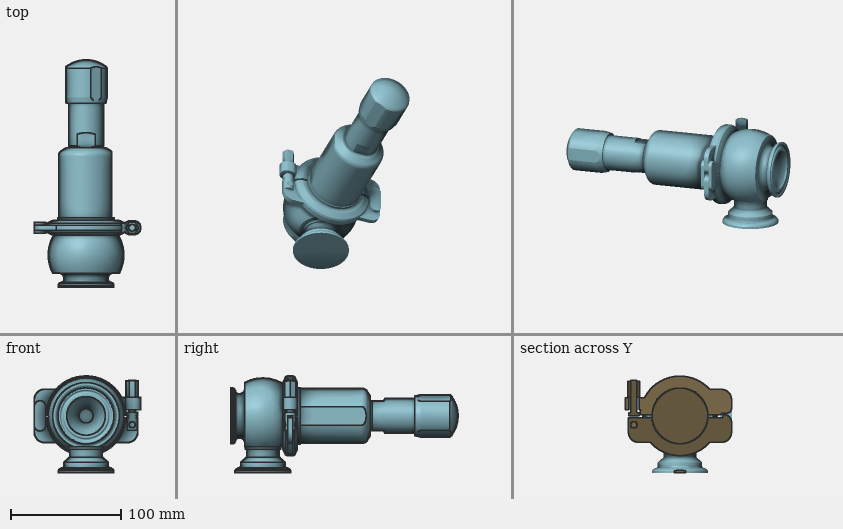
import cadquery as cq
import math


inlet_face_y = -29.0
inlet_flat_y = -16.5
clamp_mid_y = 24.7
cap_tip_y = 177.0
ball_radius = 34.5
joint_radius = 25.5

ferrule_radius = 25.3
ferrule_neck_radius = 20.2
rim_straight = 1.9
rim_thickness = 3.3
rim_top_radius = 24.5
slope_end_height = 4.5
slope_end_radius = 22.2
neck_start_height = 6.4
groove_middle_radius = 21.8
groove_half_width = 1.2
groove_lip_width = 1.0
groove_lip_depth = 0.6
groove_bottom_radius = 1.5
inlet_flare_radius = 4.1

bore_depth = 1.6
cone_mouth_radius = 17.5
cone_end_radius = 6.4
cone_depth = 17.5

outlet_face_z = -51.7
outlet_seat_z = -28.0
outlet_collar_radius = 16.0
outlet_collar_height = 2.3
outlet_pipe_radius = 14.8
outlet_cone_top_z = -37.3
outlet_cone_bottom_z = -42.2

bonnet_radius = 25.0
bonnet_collar_end_y = 34.0
bonnet_flat_x = 23.5
bonnet_shoulder_y = 89.8
bonnet_round = 5.8
bonnet_round_end_radius = 22.9
bonnet_round_end_y = 94.1
bonnet_top_radius = 17.7
bonnet_top_y = 97.5
neck_radius = 15.9
neck_root_radius = 14.5
neck_chamfer_height = 1.5
neck_flat_half_width = 13.5
neck_flat_end_y = 110.8
neck_flat_end_radius = 24.7

cap_radius = 19.2
cap_base_y = 137.5
cap_base_radius = 18.0
cap_taper_end_y = 143.0
cap_round = 5.4
cap_round_start_y = 169.3
cap_dome_radius = 16.5
cap_dome_y = 171.8
cap_flat_distance = 18.3
cap_flat_angles = (60, 180, 300)

clamp_radius = 36.3
clamp_rim_half_width = 2.3
clamp_shoulder_radius = 35.5
clamp_shoulder_half_width = 4.1
clamp_face_radius = 29.9
clamp_half_width = 6.5
upper_split_z = 0.6
lower_split_z = -1.6

lug_reach = 47.0
lug_half_height = 24.3
lug_corner_radius = 9.7
lug_thickness = 4.3
knuckle_upper_z = 2.3
knuckle_upper_radius = 4.7
knuckle_upper_inner_x = -37.5
knuckle_lower_z = 1.5
knuckle_lower_radius = 7.5
knuckle_lower_inner_x = -38.5

link_width = 10.5
link_height = 27.5
link_thickness = 2.9

bolt_x = 41.8
bolt_radius = 3.0
bolt_top_z = 32.3
boss_top_z = 16.7
boss_bottom_z = 5.5
boss_radius = 6.4
boss_slot_half_travel = 1.5
boss_web_thickness = 8.0
nut_top_z = 31.7
nut_across_corners = 11.3
fork_top_z = 3.3
fork_radius = 5.0
fork_slot_top_z = 0.0
fork_bottom_z = -13.2
pin_radius = 2.7
pin_z = -8.0

oversize = 206.0


def turned(profile):
    """Revolve a closed (radius, y) outline about the Y axis."""
    return profile.close().revolve(360, (0, 0), (0, 1))


def disc(radius, start_y, end_y):
    """Cylinder along Y between two stations."""
    return turned(
        cq.Workplane("XY").moveTo(0, start_y).lineTo(radius, start_y).lineTo(radius, end_y).lineTo(0, end_y)
    )


def plate(outline, thickness):
    """Plate in the XZ plane, centred on the middle plane of the clamp."""
    return outline.extrude(thickness / 2, both=True).translate((0, clamp_mid_y, 0))


def post(radius, bottom_z, top_z):
    """Vertical cylinder on the swing bolt axis."""
    return cq.Workplane("XY", origin=(bolt_x, clamp_mid_y, bottom_z)).circle(radius).extrude(top_z - bottom_z)


def half_space(lower_z, upper_z):
    """Large block that keeps everything between two heights."""
    return cq.Workplane("XY").workplane(offset=lower_z).rect(oversize, oversize).extrude(upper_z - lower_z)


def side_block(start_x):
    """Large block beyond a plane on the +X side, for cutting flats along the main axis."""
    return cq.Workplane("XY").box(oversize, 2 * oversize, oversize).translate((start_x + oversize / 2, 0, 0))


def ferrule(neck_end):
    """Ferrule with its face at y = 0 and its neck running towards +Y."""
    return turned(
        cq.Workplane("XY")
        .lineTo(ferrule_radius, 0)
        .lineTo(ferrule_radius, rim_straight)
        .lineTo(rim_top_radius, rim_thickness)
        .lineTo(slope_end_radius, slope_end_height)
        .radiusArc((ferrule_neck_radius, neck_start_height), neck_start_height - slope_end_height)
        .lineTo(ferrule_neck_radius, neck_end)
        .lineTo(0, neck_end)
    )


def gasket_groove():
    inner_radius = groove_middle_radius - groove_half_width
    outer_radius = groove_middle_radius + groove_half_width
    lip_y = inlet_face_y + groove_lip_depth
    return turned(
        cq.Workplane("XY")
        .moveTo(inner_radius - groove_lip_width, inlet_face_y)
        .radiusArc((inner_radius, lip_y), -groove_lip_width)
        .radiusArc((outer_radius, lip_y), groove_bottom_radius)
        .radiusArc((outer_radius + groove_lip_width, inlet_face_y), -groove_lip_width)
    )


def inlet():
    flare_start_y = inlet_flat_y - inlet_flare_radius
    flare = turned(
        cq.Workplane("XY")
        .moveTo(0, flare_start_y)
        .lineTo(ferrule_neck_radius, flare_start_y)
        .radiusArc((ferrule_neck_radius + inlet_flare_radius, inlet_flat_y), inlet_flare_radius)
        .lineTo(0, inlet_flat_y)
    )
    return ferrule(flare_start_y - inlet_face_y).translate((0, inlet_face_y, 0)).union(flare)


def inlet_bore():
    cone_start_y = inlet_face_y + bore_depth
    return turned(
        cq.Workplane("XY")
        .moveTo(0, inlet_face_y)
        .lineTo(cone_mouth_radius, inlet_face_y)
        .lineTo(cone_mouth_radius, cone_start_y)
        .lineTo(cone_end_radius, cone_start_y + cone_depth)
        .lineTo(0, cone_start_y + cone_depth)
    )


def outlet():
    collar_bottom_z = outlet_seat_z - outlet_collar_height
    pipe = (
        cq.Workplane("XZ")
        .moveTo(0, outlet_cone_bottom_z)
        .lineTo(ferrule_neck_radius, outlet_cone_bottom_z)
        .lineTo(outlet_pipe_radius, outlet_cone_top_z)
        .lineTo(outlet_pipe_radius, collar_bottom_z)
        .lineTo(outlet_collar_radius, collar_bottom_z)
        .lineTo(outlet_collar_radius, outlet_seat_z)
        .lineTo(0, outlet_seat_z)
        .close()
        .revolve(360, (0, 0), (0, 1))
    )
    end = ferrule(outlet_cone_bottom_z - outlet_face_z).rotate((0, 0, 0), (1, 0, 0), 90)
    return pipe.union(end.translate((0, 0, outlet_face_z)))


def make_body():
    ball = cq.Workplane("XY").sphere(ball_radius)
    ball = ball.intersect(disc(oversize, inlet_flat_y, clamp_mid_y - clamp_half_width))
    ball = ball.intersect(half_space(outlet_seat_z, oversize))
    spigot = disc(joint_radius, 0, clamp_mid_y)
    return ball.union(spigot).union(inlet()).union(outlet()).cut(gasket_groove()).cut(inlet_bore())


def make_bonnet():
    neck_start_y = bonnet_top_y + neck_chamfer_height
    barrel = turned(
        cq.Workplane("XY")
        .moveTo(0, bonnet_collar_end_y)
        .lineTo(bonnet_radius, bonnet_collar_end_y)
        .lineTo(bonnet_radius, bonnet_shoulder_y)
        .radiusArc((bonnet_round_end_radius, bonnet_round_end_y), -bonnet_round)
        .lineTo(bonnet_top_radius, bonnet_top_y)
        .lineTo(0, bonnet_top_y)
    )
    barrel = barrel.cut(side_block(bonnet_flat_x))
    neck = turned(
        cq.Workplane("XY")
        .moveTo(0, bonnet_top_y)
        .lineTo(neck_root_radius, bonnet_top_y)
        .lineTo(neck_radius, neck_start_y)
        .lineTo(neck_radius, cap_base_y)
        .lineTo(0, cap_base_y)
    )
    return disc(joint_radius, clamp_mid_y, bonnet_collar_end_y).union(barrel).union(neck.cut(wrench_flats()))


def wrench_flats():
    """Two opposite cuts above and below the neck, each with a rounded end wall."""
    arc_centre_y = neck_flat_end_y - neck_flat_end_radius
    side_y = arc_centre_y + math.sqrt(neck_flat_end_radius**2 - neck_radius**2)
    upper = (
        cq.Workplane("XY", origin=(0, 0, neck_flat_half_width))
        .moveTo(-neck_radius, bonnet_top_y)
        .lineTo(-neck_radius, side_y)
        .threePointArc((0, neck_flat_end_y), (neck_radius, side_y))
        .lineTo(neck_radius, bonnet_top_y)
        .close()
        .extrude(neck_radius)
    )
    return upper.union(upper.mirror("XY"))


def make_cap():
    dome_height = cap_tip_y - cap_dome_y
    dome_sphere_radius = (cap_dome_radius**2 + dome_height**2) / (2 * dome_height)
    cap = turned(
        cq.Workplane("XY")
        .moveTo(0, cap_base_y)
        .lineTo(cap_base_radius, cap_base_y)
        .lineTo(cap_radius, cap_taper_end_y)
        .lineTo(cap_radius, cap_round_start_y)
        .radiusArc((cap_dome_radius, cap_dome_y), -cap_round)
        .radiusArc((0, cap_tip_y), -dome_sphere_radius)
    )
    for angle in cap_flat_angles:
        cap = cap.cut(side_block(cap_flat_distance).rotate((0, 0, 0), (0, 1, 0), -angle))
    return cap


def clamp_ring():
    return turned(
        cq.Workplane("XY")
        .moveTo(0, clamp_mid_y - clamp_half_width)
        .lineTo(clamp_face_radius, clamp_mid_y - clamp_half_width)
        .lineTo(clamp_shoulder_radius, clamp_mid_y - clamp_shoulder_half_width)
        .lineTo(clamp_radius, clamp_mid_y - clamp_rim_half_width)
        .lineTo(clamp_radius, clamp_mid_y + clamp_rim_half_width)
        .lineTo(clamp_shoulder_radius, clamp_mid_y + clamp_shoulder_half_width)
        .lineTo(clamp_face_radius, clamp_mid_y + clamp_half_width)
        .lineTo(0, clamp_mid_y + clamp_half_width)
    )


def clamp_bore():
    return disc(joint_radius, clamp_mid_y - clamp_half_width, clamp_mid_y + clamp_half_width)


def hinge_lug(split_z, knuckle_z, knuckle_inner_x, knuckle_radius, side):
    """Hinge plate of one half; side is +1 for the upper half and -1 for the lower one."""
    corner_leg = lug_corner_radius * (1 - math.sqrt(0.5))
    knuckle_leg = knuckle_radius * (1 - math.sqrt(0.5))
    outline = (
        cq.Workplane("XZ")
        .moveTo(0, split_z)
        .lineTo(knuckle_inner_x, split_z)
        .lineTo(knuckle_inner_x, knuckle_z)
        .lineTo(-lug_reach + knuckle_radius, knuckle_z)
        .threePointArc(
            (-lug_reach + knuckle_leg, knuckle_z + side * knuckle_leg),
            (-lug_reach, knuckle_z + side * knuckle_radius),
        )
        .lineTo(-lug_reach, side * (lug_half_height - lug_corner_radius))
        .threePointArc(
            (-lug_reach + corner_leg, side * (lug_half_height - corner_leg)),
            (-lug_reach + lug_corner_radius, side * lug_half_height),
        )
        .lineTo(0, side * lug_half_height)
        .close()
    )
    return plate(outline, lug_thickness)


def bolt_boss():
    """Slotted boss on the upper half, joined to the ring by a web."""
    height = boss_top_z - boss_bottom_z
    centre = cq.Workplane("XY", origin=(bolt_x, clamp_mid_y, boss_bottom_z))
    boss = centre.slot2D(2 * (boss_radius + boss_slot_half_travel), 2 * boss_radius).extrude(height)
    web = cq.Workplane("XY", origin=(bolt_x / 2, clamp_mid_y, boss_bottom_z))
    return boss.union(web.rect(bolt_x, boss_web_thickness).extrude(height))


def bolt_slot():
    centre = cq.Workplane("XY", origin=(bolt_x, clamp_mid_y, boss_bottom_z))
    slot = centre.slot2D(2 * (bolt_radius + boss_slot_half_travel), 2 * bolt_radius)
    return slot.extrude(boss_top_z - boss_bottom_z)


def bolt_lug():
    """Plate on the lower half that carries the swing bolt pin."""
    height = lower_split_z + lug_half_height
    outline = cq.Workplane("XZ").center(lug_reach / 2, lower_split_z - height / 2).rect(lug_reach, height)
    lug = plate(outline, lug_thickness)
    return lug.edges("|Y").edges(">X").edges("<Z").fillet(lug_corner_radius)


def make_upper_clamp():
    lug = hinge_lug(upper_split_z, knuckle_upper_z, knuckle_upper_inner_x, knuckle_upper_radius, 1)
    half = clamp_ring().intersect(half_space(upper_split_z, oversize))
    return half.union(lug).union(bolt_boss()).cut(clamp_bore()).cut(bolt_slot())


def make_lower_clamp():
    lug = hinge_lug(lower_split_z, knuckle_lower_z, knuckle_lower_inner_x, knuckle_lower_radius, -1)
    half = clamp_ring().intersect(half_space(-oversize, lower_split_z))
    return half.union(lug).union(bolt_lug()).cut(clamp_bore()).cut(make_pin())


def make_link(side):
    centre_x = -lug_reach + link_width / 2
    outline = cq.Workplane("XZ").center(centre_x, 0).slot2D(link_height, link_width, 90)
    return plate(outline, link_thickness).translate((0, side * (lug_thickness + link_thickness) / 2, 0))


def make_pin():
    return plate(cq.Workplane("XZ").center(bolt_x, pin_z).circle(pin_radius), 2 * fork_radius)


def make_bolt():
    slot_height = fork_slot_top_z - fork_bottom_z
    slot_outline = cq.Workplane("XZ").center(bolt_x, fork_bottom_z + slot_height / 2)
    slot = plate(slot_outline.rect(2 * fork_radius, slot_height), lug_thickness)
    bolt = post(fork_radius, fork_bottom_z, fork_top_z)
    bolt = bolt.union(post(bolt_radius, fork_top_z, bolt_top_z))
    return bolt.cut(slot).cut(make_pin())


def make_nut():
    centre = cq.Workplane("XY", origin=(bolt_x, clamp_mid_y, boss_top_z))
    nut = centre.polygon(6, nut_across_corners).extrude(nut_top_z - boss_top_z)
    return nut.cut(post(bolt_radius, boss_top_z, nut_top_z))


body = make_body()
bonnet = make_bonnet()
cap = make_cap()
upper_clamp = make_upper_clamp()
lower_clamp = make_lower_clamp()
links = [make_link(side) for side in (-1, 1)]
bolt = make_bolt()
nut = make_nut()
pin = make_pin()

result = cq.Compound.makeCompound(
    [
        body.val(),
        bonnet.val(),
        cap.val(),
        upper_clamp.val(),
        lower_clamp.val(),
        *[link.val() for link in links],
        bolt.val(),
        nut.val(),
        pin.val(),
    ]
)